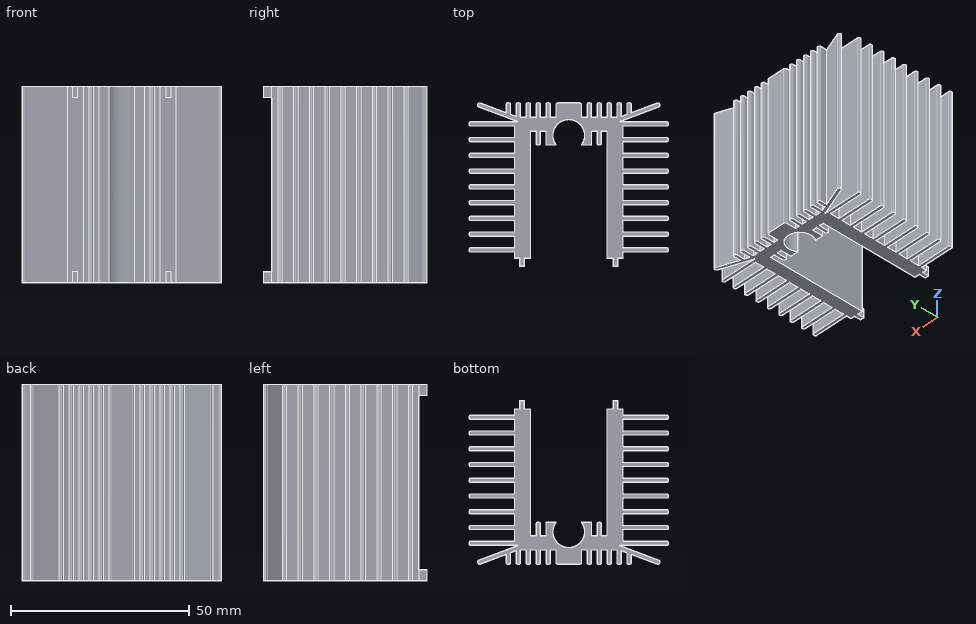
import cadquery as cq
import math

overall_width = 55.9
length = 55.1
overall_depth = 45.9

wall_outer_x = 15.25
wall_inner_x = 10.7
peg_depth = 2.3
wall_end_y = peg_depth - overall_depth
crosspiece_back_y = -4.0
crosspiece_front_y = -8.05

fin_thickness = 1.25
fin_tip_radius = 0.5
fin_root_overlap = 1.1

side_fin_count = 9
side_fin_pitch = 4.4
first_side_fin_y = -5.9

back_fin_count = 5
back_fin_pitch = 2.8
first_back_fin_x = 5.75

slanted_fin_angle = 20.6
slanted_fin_length = 12.2
slanted_fin_root_x = 14.3
slanted_fin_sink = 2.8

block_half_width = 3.65
block_corner_radius = 0.65
seat_radius = 4.4
seat_center_y = -9.15
jaw_half_width = 6.4
jaw_end_y = -11.85

inner_fin_x = first_back_fin_x + back_fin_pitch

peg_x = 13.15
peg_width = 1.35
peg_height = 3.2


def block(x_min, x_max, y_min, y_max):
    """Full-length rectangular bar between the given X and Y limits."""
    return cq.Workplane("XY").box(
        x_max - x_min, y_max - y_min, length, centered=(False, False, True)
    ).translate((x_min, y_min, 0))


def fin(root_x, root_y, reach, direction, sink=fin_root_overlap):
    """Fin from a root point on its centre line, with a rounded tip.

    The direction is an angle in degrees from +X; the fin runs `reach` beyond its root.
    """
    blade = block(-sink, reach, -fin_thickness / 2, fin_thickness / 2)
    blade = blade.edges("|Z and >X").fillet(fin_tip_radius)
    return blade.rotate((0, 0, 0), (0, 0, 1), direction).translate((root_x, root_y, 0))


def side_fins():
    """Fins standing out from the outer face of the +X wall."""
    reach = overall_width / 2 - wall_outer_x
    fins = cq.Workplane("XY")
    for index in range(side_fin_count):
        fins = fins.add(fin(wall_outer_x, first_side_fin_y - index * side_fin_pitch, reach, 0))
    return fins.combine()


def back_fins():
    """Fins behind the +X half of the crosspiece, ending flush with the back."""
    fins = cq.Workplane("XY")
    for index in range(back_fin_count):
        fin_x = first_back_fin_x + index * back_fin_pitch
        fins = fins.add(fin(fin_x, crosspiece_back_y, -crosspiece_back_y, 90, sink=0))
    return fins.combine()


def slanted_fin():
    """Corner fin whose lower face starts on the top face of the first side fin."""
    angle = math.radians(slanted_fin_angle)
    root_x = slanted_fin_root_x - fin_thickness / 2 * math.sin(angle)
    root_y = first_side_fin_y + fin_thickness / 2 * (1 + math.cos(angle))
    return fin(root_x, root_y, slanted_fin_length, slanted_fin_angle, slanted_fin_sink)


def pegs():
    """Pegs on the end of the +X wall, one flush with each end of the profile."""
    center_z = (length - peg_height) / 2
    return (
        cq.Workplane("XY")
        .pushPoints([(0, 0, -center_z), (0, 0, center_z)])
        .box(peg_width, 2 * peg_depth, peg_height)
        .translate((peg_x, wall_end_y, 0))
    )


half = block(0, slanted_fin_root_x, crosspiece_front_y, crosspiece_back_y)
half = half.union(block(wall_inner_x, wall_outer_x, wall_end_y, first_side_fin_y))
half = half.union(side_fins()).union(back_fins()).union(slanted_fin()).union(pegs())

inner_fin_reach = crosspiece_front_y - jaw_end_y
half = half.union(fin(inner_fin_x, crosspiece_front_y, inner_fin_reach, -90))

center_block = block(-block_half_width, block_half_width, crosspiece_front_y, 0)
center_block = center_block.edges("|Z and >Y").fillet(block_corner_radius)
jaws = block(-jaw_half_width, jaw_half_width, jaw_end_y, crosspiece_back_y)
seat = cq.Workplane("XY").circle(seat_radius).extrude(length / 2, both=True)
seat = seat.translate((0, seat_center_y, 0))
seat_mouth = block(-block_half_width, block_half_width, jaw_end_y, seat_center_y)

result = half.union(half.mirror("YZ")).union(center_block).union(jaws)
result = result.cut(seat).cut(seat_mouth)